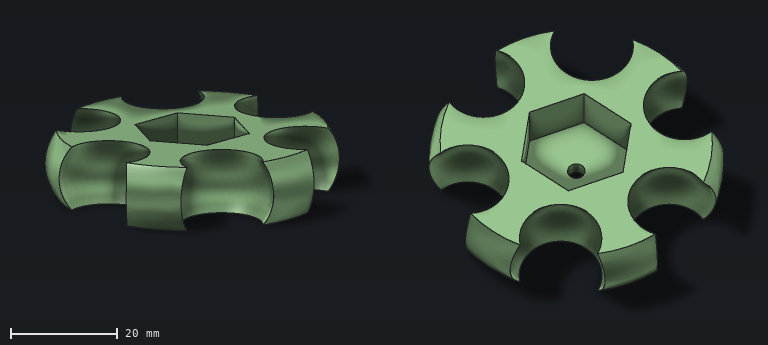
import cadquery as cq
import math

outer_diameter = 55.25
thickness = 12.4
ball_radius = 9.9
rim_radius = 10.0
scallop_count = 6
scallop_distance = 21.95
hex_across_flats = 19.15
hex_depth = 9.6
hole_diameter = 3.2

half_thickness = thickness / 2
outer_radius = outer_diameter / 2
rim_bulge = rim_radius - math.sqrt(rim_radius**2 - half_thickness**2)
face_radius = outer_radius - rim_bulge
hex_corner_diameter = hex_across_flats / math.cos(math.pi / 6)


def make_disc():
    """Disc with a convex rim, centred on the origin."""
    return (
        cq.Workplane("XZ")
        .moveTo(0, -half_thickness)
        .lineTo(face_radius, -half_thickness)
        .threePointArc((outer_radius, 0), (face_radius, half_thickness))
        .lineTo(0, half_thickness)
        .close()
        .revolve(360, (0, 0, 0), (0, 1, 0))
    )


def cut_scallops(body):
    """Ball-shaped scallops around the rim, leaving spokes between them."""
    pitch = 360 / scallop_count
    for index in range(scallop_count):
        ball = cq.Workplane("XY").sphere(ball_radius).translate((scallop_distance, 0, 0))
        angle = (index + 0.5) * pitch
        body = body.cut(ball.rotate((0, 0, 0), (0, 0, 1), angle))
    return body


def cut_hex_pocket(body):
    """Blind hexagonal pocket in the top face, with corners on the Y axis."""
    pocket = (
        cq.Workplane("XY")
        .workplane(offset=half_thickness - hex_depth)
        .transformed(rotate=(0, 0, 90))
        .polygon(6, hex_corner_diameter)
        .extrude(hex_depth)
    )
    return body.cut(pocket)


def cut_centre_hole(body):
    """Through hole on the part axis."""
    hole = cq.Workplane("XY").circle(hole_diameter / 2).extrude(half_thickness, both=True)
    return body.cut(hole)


result = cut_centre_hole(cut_hex_pocket(cut_scallops(make_disc())))